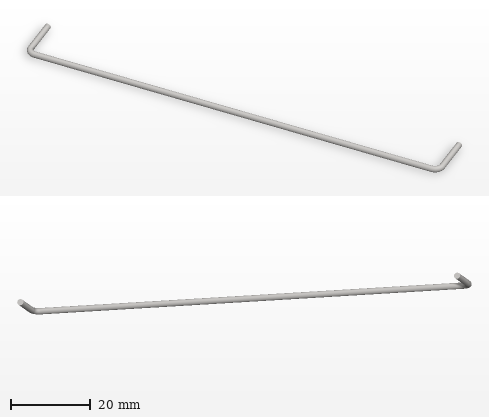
import cadquery as cq

wire_diameter = 1.6
overall_width = 115.9
overall_depth = 12.8
bend_radius = 2.0

wire_radius = wire_diameter / 2
half_span = overall_width / 2 - wire_radius
leg_end = overall_depth - wire_radius
straight_end = half_span - bend_radius


def wire_centreline():
    """U-shaped path: leg, bend, long run, bend, leg."""
    return (
        cq.Workplane("XY")
        .moveTo(-half_span, leg_end)
        .lineTo(-half_span, bend_radius)
        .radiusArc((-straight_end, 0), -bend_radius)
        .lineTo(straight_end, 0)
        .radiusArc((half_span, bend_radius), -bend_radius)
        .lineTo(half_span, leg_end)
    )


def bent_wire():
    """Round wire section swept along the centreline from the tip of one leg."""
    leg_tip = cq.Workplane("XZ", origin=(-half_span, leg_end, 0))
    return leg_tip.circle(wire_radius).sweep(wire_centreline())


result = bent_wire()